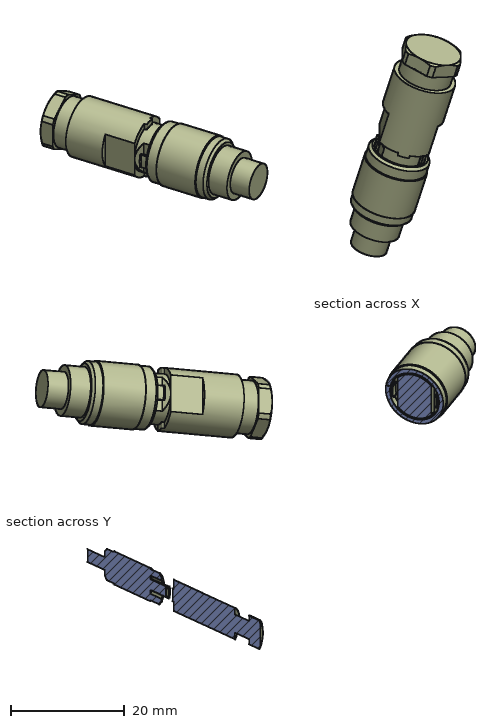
import cadquery as cq
import math

nut_end = 2.5
nut_neck_end = 5.45
flat_start = 12.8
body_end = 18.7
sleeve_start = 21.3
grip_start = 23.67
grip_end = 31.68
sleeve_end = 33.6
plug_step_end = 37.3
total_length = 41.1

nut_corner_diameter = 11.0
nut_neck_diameter = 9.5
body_diameter = 11.2
neck_diameter = 9.0
sleeve_diameter = 11.2
grip_diameter = 11.5
plug_step_diameter = 9.0
plug_tip_diameter = 6.6

nut_across_flats = 10.0
nut_chamfer_angle = 30.0

wrench_across_flats = 9.0
neck_across_flats = 6.6

key_length = 0.5
key_width = 2.1
key_corner_radius = 0.15

sleeve_chamfer = 0.5
grip_ramp_length = 0.12
sleeve_bore_diameter = 9.4
sleeve_bore_end = grip_start

finger_start = 19.82
finger_width = 2.6
finger_inner_radius = 4.2
finger_root_radius = 4.5
finger_outer_radius = 4.65
finger_lip_radius = 4.75
finger_lip_length = 0.25
finger_tip_inner_radius = 4.32
finger_tip_length = 0.55
finger_root_overlap = 0.2


def revolved(profile):
    """Solid of revolution about the X axis from (x, radius) points."""
    return cq.Workplane("XY").polyline(profile).close().revolve(360, (0, 0), (1, 0))


def cylinder(start, end, diameter):
    """Solid cylinder on the X axis."""
    return cq.Workplane("YZ").workplane(offset=start).circle(diameter / 2).extrude(end - start)


def block(start, end, width_y, width_z):
    """Rectangular bar centred on the X axis."""
    return cq.Workplane("YZ").workplane(offset=start).rect(width_y, width_z).extrude(end - start)


def make_nut():
    """Hex nut with flats facing +/-Y, rounded corners and a conical chamfer on its free face."""
    across_corners = nut_across_flats / math.cos(math.radians(30))
    chamfer_width = (nut_corner_diameter - nut_across_flats) / 2
    chamfer_length = chamfer_width * math.tan(math.radians(nut_chamfer_angle))
    envelope = cylinder(0, nut_end, nut_corner_diameter)
    envelope = envelope.faces("<X").chamfer(chamfer_length, chamfer_width)
    hexagon = (
        cq.Workplane("YZ")
        .transformed(rotate=(0, 0, 30))
        .polygon(6, across_corners)
        .extrude(nut_end)
    )
    return hexagon.intersect(envelope)


def make_body():
    """Round body with two wrench flats and two keys on its far end."""
    round_section = cylinder(nut_neck_end, flat_start, body_diameter)
    wrench_section = cylinder(flat_start, body_end, body_diameter)
    wrench_flats = block(flat_start, body_end, wrench_across_flats, body_diameter)
    body = round_section.union(wrench_section.intersect(wrench_flats))
    key_end = body_end + key_length
    key_bar = block(body_end, key_end, key_width, body_diameter)
    key_bar = key_bar.edges(">X and |Z").fillet(key_corner_radius)
    return body.union(key_bar.intersect(cylinder(body_end, key_end, body_diameter)))


def make_neck():
    """Neck behind the body, with 45 degree ramps down to two flats that run into the sleeve."""
    neck = cylinder(body_end, sleeve_bore_end, neck_diameter)
    outer_y = neck_diameter / 2
    flat_y = neck_across_flats / 2
    ramp_end = body_end + outer_y - flat_y
    profile = (
        cq.Workplane("XY")
        .moveTo(body_end, -outer_y)
        .lineTo(ramp_end, -flat_y)
        .lineTo(sleeve_bore_end, -flat_y)
        .lineTo(sleeve_bore_end, flat_y)
        .lineTo(ramp_end, flat_y)
        .lineTo(body_end, outer_y)
        .close()
        .extrude(neck_diameter / 2, both=True)
    )
    return neck.intersect(profile)


def make_sleeve():
    """Coupling sleeve with chamfered ends, a raised grip band and an open bore facing the body."""
    sleeve_radius = sleeve_diameter / 2
    grip_radius = grip_diameter / 2
    end_radius = sleeve_radius - sleeve_chamfer
    sleeve = revolved([
        (sleeve_start, 0),
        (sleeve_start, end_radius),
        (sleeve_start + sleeve_chamfer, sleeve_radius),
        (grip_start, sleeve_radius),
        (grip_start + grip_ramp_length, grip_radius),
        (grip_end - grip_ramp_length, grip_radius),
        (grip_end, sleeve_radius),
        (sleeve_end - sleeve_chamfer, sleeve_radius),
        (sleeve_end, end_radius),
        (sleeve_end, 0),
    ])
    return sleeve.cut(cylinder(sleeve_start, sleeve_bore_end, sleeve_bore_diameter))


def make_fingers():
    """Pair of latch fingers on the -Y and +Y sides, each with an outward lip at the tip."""
    finger_end = sleeve_bore_end + finger_root_overlap
    lip_end = finger_start + finger_lip_length
    tip_end = finger_start + finger_tip_length
    ring = revolved([
        (finger_start, finger_tip_inner_radius),
        (finger_start, finger_lip_radius),
        (lip_end, finger_outer_radius),
        (finger_end, finger_root_radius),
        (finger_end, finger_inner_radius),
        (tip_end, finger_inner_radius),
        (tip_end, finger_tip_inner_radius),
    ])
    return ring.intersect(block(finger_start, finger_end, 2 * finger_lip_radius, finger_width))


result = (
    make_nut()
    .union(cylinder(nut_end, nut_neck_end, nut_neck_diameter))
    .union(make_body())
    .union(make_neck())
    .union(make_sleeve())
    .union(make_fingers())
    .union(cylinder(sleeve_end, plug_step_end, plug_step_diameter))
    .union(cylinder(plug_step_end, total_length, plug_tip_diameter))
)